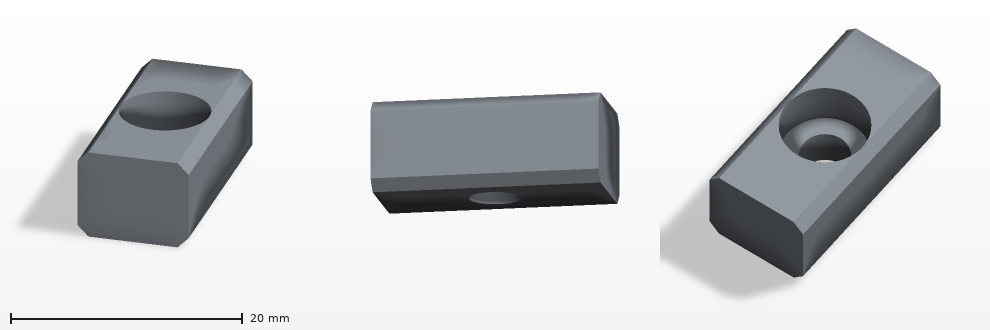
import cadquery as cq

width = 10.0
length = 20.0
height = 8.0
edge_chamfer = 1.0

hole_diameter = 4.5
counterbore_diameter = width - 2 * edge_chamfer
counterbore_depth = 4.3

block = cq.Workplane("XY").box(width, length, height)

block = block.edges("|Y").chamfer(edge_chamfer)

result = (
    block.faces(">Z")
    .workplane(centerOption="CenterOfBoundBox")
    .cboreHole(hole_diameter, counterbore_diameter, counterbore_depth)
)